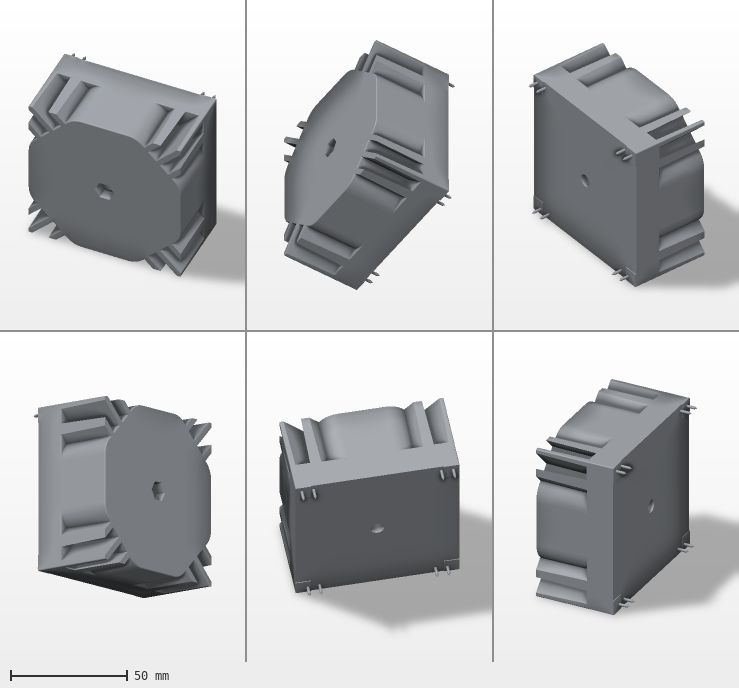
import cadquery as cq
import math

SIDE = 72.05
DEPTH = 37.6
EDGE_RADIUS = 0.5
OCTAGON_SIDES = 8
OCTAGON_CORNER_RADIUS = 10.0

SLOT_DEPTH = 24.6
SLOT_DRAFT = math.radians(1.0)
CENTRE_RIB_HALF_WIDTH = 1.3
SIDE_RIB_INNER = 6.7
SIDE_RIB_OUTER = 9.3
CORNER_ANGLES = (45, 135, 225, 315)

BORE_DIAMETER = 6.0
NUT_ACROSS_FLATS = 8.0
NUT_SIDES = 6
NUT_POCKET_DEPTH = 5.05

PAD_SIZE = 6.85
PAD_HEIGHT = 0.35

OVERALL_DEPTH = 42.5
PIN_DIAMETER = 1.3
PIN_POINT_LENGTH = 1.15
PIN_PITCH = 2.6
PIN_EDGE_OFFSET = 33.2
PINS_PER_GROUP = 4

HALF_SIDE = SIDE / 2
SEAT_Y = DEPTH - PAD_HEIGHT
PAD_INNER = HALF_SIDE - PAD_SIZE
RIB_SPREAD = SLOT_DEPTH * math.tan(SLOT_DRAFT)


def along_y(start):
    """Workplane at Y = start; negative extrusions run toward the back."""
    return cq.Workplane("XZ", origin=(0, start, 0))


def square_block(start, end):
    """Full-size square block with rounded corner edges."""
    block = along_y(start).rect(SIDE, SIDE).extrude(start - end)
    return block.edges("|Y").fillet(EDGE_RADIUS)


def octagon_block():
    """Regular octagon with large rounded corners and a rounded front rim."""
    across_corners = SIDE / math.cos(math.pi / OCTAGON_SIDES)
    block = along_y(0).polygon(OCTAGON_SIDES, across_corners).extrude(-SEAT_Y)
    block = block.rotate((0, 0, 0), (0, 1, 0), 180 / OCTAGON_SIDES)
    block = block.edges("|Y").fillet(OCTAGON_CORNER_RADIUS)
    return block.faces("<Y").edges().fillet(EDGE_RADIUS)


def diagonal_prism(outline, angle):
    """Prism running out along a corner diagonal; outline points are (across, Y)."""
    c = math.cos(math.radians(angle))
    s = math.sin(math.radians(angle))
    start = HALF_SIDE - 2 * EDGE_RADIUS
    plane = cq.Plane(origin=(start * c, 0, start * s), xDir=(s, 0, -c), normal=(c, 0, s))
    return cq.Workplane(plane).polyline(outline).close().extrude(HALF_SIDE)


def rib(left, right, angle):
    """Drafted rib that thickens from the front face to the slot floor."""
    outline = [
        (left, 0),
        (right, 0),
        (right + RIB_SPREAD, SLOT_DEPTH),
        (right + RIB_SPREAD, SEAT_Y),
        (left - RIB_SPREAD, SEAT_Y),
        (left - RIB_SPREAD, SLOT_DEPTH),
    ]
    return diagonal_prism(outline, angle)


def corner_ribs(angle):
    """Three ribs of one corner and the square-edged floor of the slots between them."""
    floor_outline = [
        (-SIDE_RIB_INNER, SLOT_DEPTH),
        (SIDE_RIB_INNER, SLOT_DEPTH),
        (SIDE_RIB_INNER, SEAT_Y),
        (-SIDE_RIB_INNER, SEAT_Y),
    ]
    ribs = diagonal_prism(floor_outline, angle)
    ribs = ribs.union(rib(-CENTRE_RIB_HALF_WIDTH, CENTRE_RIB_HALF_WIDTH, angle))
    ribs = ribs.union(rib(SIDE_RIB_INNER, SIDE_RIB_OUTER, angle))
    return ribs.union(rib(-SIDE_RIB_OUTER, -SIDE_RIB_INNER, angle))


def standoff_pads():
    """Corner pads left by a cross-shaped recess in the back face."""
    recess = along_y(SEAT_Y).rect(2 * PAD_INNER, SIDE).extrude(-PAD_HEIGHT)
    recess = recess.union(along_y(SEAT_Y).rect(SIDE, 2 * PAD_INNER).extrude(-PAD_HEIGHT))
    return square_block(SEAT_Y, DEPTH).cut(recess)


def make_housing():
    base = square_block(SLOT_DEPTH, SEAT_Y).faces("<Y").edges().fillet(EDGE_RADIUS)
    body = base.union(octagon_block())
    envelope = square_block(0, SEAT_Y)
    for angle in CORNER_ANGLES:
        body = body.union(corner_ribs(angle).intersect(envelope))
    body = body.union(standoff_pads())

    bore = along_y(0).circle(BORE_DIAMETER / 2).extrude(-DEPTH)
    nut_across_corners = NUT_ACROSS_FLATS / math.cos(math.pi / NUT_SIDES)
    nut_pocket = along_y(0).polygon(NUT_SIDES, nut_across_corners).extrude(-NUT_POCKET_DEPTH)
    return body.cut(bore).cut(nut_pocket)


def make_pin(x, z):
    """Round pin with a conical point, standing on the back of the housing."""
    on_pad = abs(x) > PAD_INNER and abs(z) > PAD_INNER
    base_y = DEPTH if on_pad else SEAT_Y
    radius = PIN_DIAMETER / 2
    half_profile = [
        (0, base_y),
        (radius, base_y),
        (radius, OVERALL_DEPTH - PIN_POINT_LENGTH),
        (0, OVERALL_DEPTH),
    ]
    pin = cq.Workplane("XY").polyline(half_profile).close()
    return pin.revolve(360, (0, 0, 0), (0, 1, 0)).translate((x, 0, z))


housing = make_housing()

pins = []
for index in range(PINS_PER_GROUP):
    pin_x = PIN_EDGE_OFFSET - index * PIN_PITCH
    pin_z = PIN_EDGE_OFFSET if index % 2 == 0 else -PIN_EDGE_OFFSET
    for mirror in (-1, 1):
        pins.append(make_pin(mirror * pin_x, pin_z).val())

result = cq.Compound.makeCompound([housing.val(), *pins])